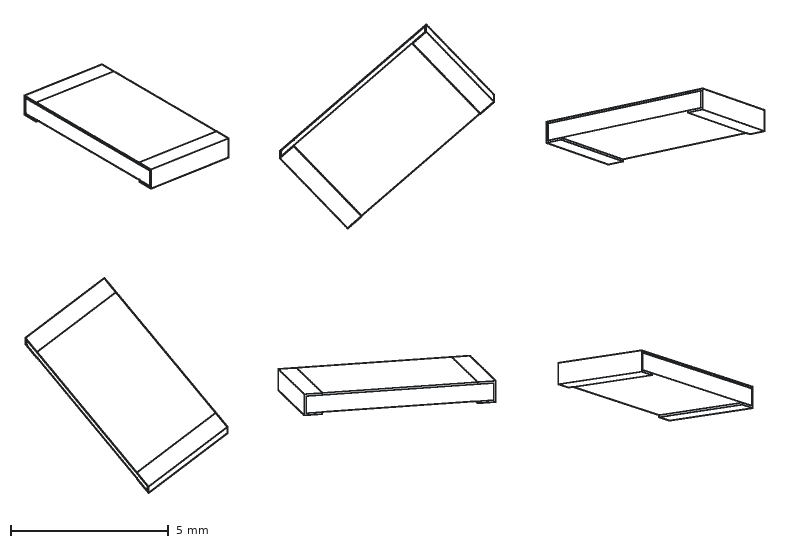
import cadquery as cq

length = 6.3
width = 3.2
height = 0.7

plating = 0.07
terminal_reach = 0.6

core_length = length - 2 * plating
core_height = height - 2 * plating
coat_length = length - 2 * terminal_reach


def block(size_x, size_z, bottom):
    """Full-width block centred on X and Y, standing on the given height."""
    return cq.Workplane("XY").box(size_x, width, size_z, centered=(True, True, False)).translate((0, 0, bottom))


def make_core():
    """Ceramic substrate between the two terminals."""
    return block(core_length, core_height, plating)


def make_coat():
    """Protective layer on the substrate, flush with the terminal tops."""
    return block(coat_length, plating, height - plating)


def make_terminal(side):
    """C-shaped end cap; side is -1 for the -X end and +1 for the +X end."""
    centre = side * (length - terminal_reach) / 2
    cap = cq.Workplane("XY").box(terminal_reach, width, height, centered=(True, True, False))
    return cap.translate((centre, 0, 0)).cut(make_core())


core = make_core()
coat = make_coat()
terminals = [make_terminal(side) for side in (-1, 1)]

result = cq.Compound.makeCompound([core.val(), coat.val(), *[terminal.val() for terminal in terminals]])